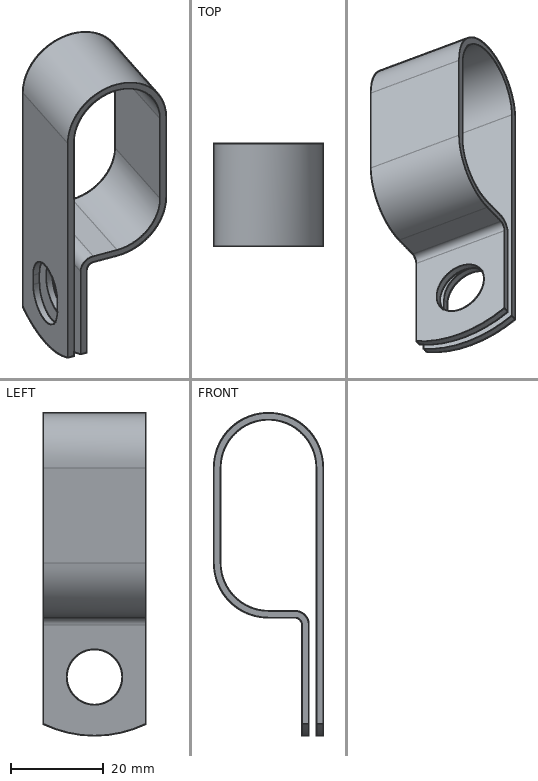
import cadquery as cq
import math


overall_width = 23.67
overall_height = 69.75
strip_width = 22.23
strip_thickness = 1.524
loop_straight_length = 20.6
tab_gap = 1.57
bend_inner_radius = strip_thickness
hole_diameter = 11.9
hole_height = 12.7
slot_length = 14.29
tip_radius = 25.4

loop_outer_radius = overall_width / 2
loop_inner_radius = loop_outer_radius - strip_thickness
upper_center_z = overall_height - loop_outer_radius
lower_center_z = upper_center_z - loop_straight_length
floor_bottom_z = lower_center_z - loop_outer_radius
floor_top_z = floor_bottom_z + strip_thickness

bend_outer_radius = bend_inner_radius + strip_thickness
short_tab_right_x = loop_inner_radius - tab_gap
short_tab_left_x = short_tab_right_x - strip_thickness
bend_center_x = short_tab_right_x - bend_outer_radius
bend_center_z = floor_top_z - bend_outer_radius
tip_corner_z = tip_radius - math.sqrt(tip_radius**2 - (strip_width / 2) ** 2)


def make_bent_strip():
    """Extrude the bent strip profile across the full strip width."""
    profile = (
        cq.Workplane("XZ")
        .moveTo(loop_outer_radius, 0)
        .lineTo(loop_outer_radius, upper_center_z)
        .tangentArcPoint((0, overall_height), relative=False)
        .tangentArcPoint((-loop_outer_radius, upper_center_z), relative=False)
        .lineTo(-loop_outer_radius, lower_center_z)
        .tangentArcPoint((0, floor_bottom_z), relative=False)
        .lineTo(bend_center_x, floor_bottom_z)
        .tangentArcPoint((short_tab_left_x, bend_center_z), relative=False)
        .lineTo(short_tab_left_x, 0)
        .lineTo(short_tab_right_x, 0)
        .lineTo(short_tab_right_x, bend_center_z)
        .tangentArcPoint((bend_center_x, floor_top_z), relative=False)
        .lineTo(0, floor_top_z)
        .tangentArcPoint((-loop_inner_radius, lower_center_z), relative=False)
        .lineTo(-loop_inner_radius, upper_center_z)
        .tangentArcPoint((0, upper_center_z + loop_inner_radius), relative=False)
        .tangentArcPoint((loop_inner_radius, upper_center_z), relative=False)
        .lineTo(loop_inner_radius, 0)
        .close()
    )
    return profile.extrude(strip_width / 2, both=True)


def make_side_envelope():
    """Rectangle with a rounded lower edge, which trims both tab tips."""
    half_width = strip_width / 2
    return (
        cq.Workplane("YZ")
        .moveTo(-half_width, overall_height)
        .lineTo(-half_width, tip_corner_z)
        .threePointArc((0, 0), (half_width, tip_corner_z))
        .lineTo(half_width, overall_height)
        .close()
        .extrude(loop_outer_radius, both=True)
    )


def hole_workplane(start_x):
    """Plane at the hole centre facing +X, with its local x axis pointing down."""
    return cq.Workplane(cq.Plane(origin=(start_x, 0, hole_height), xDir=(0, 0, -1), normal=(1, 0, 0)))


def make_round_hole_cutter():
    """Cylinder along X for the round bolt hole in the short tab."""
    return hole_workplane(short_tab_left_x).circle(hole_diameter / 2).extrude(strip_thickness)


def make_slot_cutter():
    """Vertical slot through the long tab, as wide as the round hole."""
    return hole_workplane(loop_inner_radius).slot2D(slot_length, hole_diameter).extrude(strip_thickness)


result = (
    make_bent_strip()
    .intersect(make_side_envelope())
    .cut(make_round_hole_cutter())
    .cut(make_slot_cutter())
)